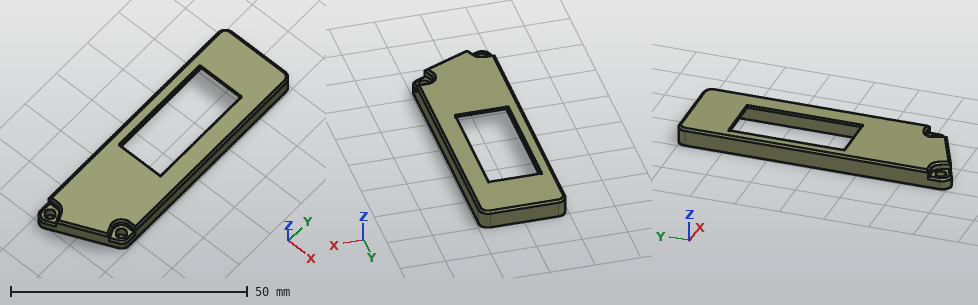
import cadquery as cq
import math

width = 18.95
length = 60.95
height = 4.0
corner_radius = 2.0
slant_angle = math.radians(23.8)
chamfer = 0.5

seat_height = 2.45
seat_radius = 2.0
hole_diameter = 2.3
hole_inset = 2.25
left_hole_y = 2.45

window_width = 11.7
window_length = 25.95
window_left = 2.55
window_top_margin = 10.85

lip_thickness = 0.6
side_overhang = 0.9
end_overhang = 4.9

along = cq.Vector(math.cos(slant_angle), math.sin(slant_angle))
outward = cq.Vector(math.sin(slant_angle), -math.cos(slant_angle))

hole_spacing = width - 2 * hole_inset
left_hole = cq.Vector(hole_inset, left_hole_y)
right_hole = left_hole + cq.Vector(hole_spacing, hole_spacing * math.tan(slant_angle))


def plate(thickness):
    """Rounded plate with one slanted end, standing on Z = 0."""
    lowest_center = cq.Vector(corner_radius, corner_radius)
    tangent_point = lowest_center + outward * corner_radius
    left_y = tangent_point.y - tangent_point.x * math.tan(slant_angle)
    right_y = left_y + width * math.tan(slant_angle)
    outline = [(0, left_y), (width, right_y), (width, length), (0, length)]
    return cq.Workplane("XY").polyline(outline).close().extrude(thickness).edges("|Z").fillet(corner_radius)


def seat_clearance(hole, side):
    """Space above a screw seat; side is -1 for the left long side and 1 for the right."""
    reach = 2 * width
    wall_direction = along * -side
    top = hole + cq.Vector(0, seat_radius)
    inner = hole + wall_direction * seat_radius
    middle = hole + (wall_direction + cq.Vector(0, 1)).normalized() * seat_radius
    beyond_slant = inner + outward * reach
    beyond_side = cq.Vector(hole.x + side * reach, top.y)
    return (
        cq.Workplane("XY")
        .moveTo(beyond_side.x, beyond_side.y)
        .lineTo(top.x, top.y)
        .threePointArc((middle.x, middle.y), (inner.x, inner.y))
        .lineTo(beyond_slant.x, beyond_slant.y)
        .lineTo(beyond_side.x, beyond_slant.y)
        .close()
        .extrude(height)
    )


body = plate(height)
for hole, side in ((left_hole, -1), (right_hole, 1)):
    body = body.cut(seat_clearance(hole, side))
body = body.faces(">Z").chamfer(chamfer)

base = plate(seat_height).faces(">Z").chamfer(chamfer)
result = base.union(body)

for hole in (left_hole, right_hole):
    drill = cq.Workplane("XY").center(hole.x, hole.y).circle(hole_diameter / 2).extrude(height)
    result = result.cut(drill)

window_bottom = length - window_top_margin - window_length
window = cq.Workplane("XY").box(window_width, window_length, height, centered=False)
result = result.cut(window.translate((window_left, window_bottom, 0)))

pocket_width = window_width + 2 * side_overhang
pocket_length = window_length + 2 * end_overhang
pocket = cq.Workplane("XY").box(pocket_width, pocket_length, height - lip_thickness, centered=False)
result = result.cut(pocket.translate((window_left - side_overhang, window_bottom - end_overhang, 0)))